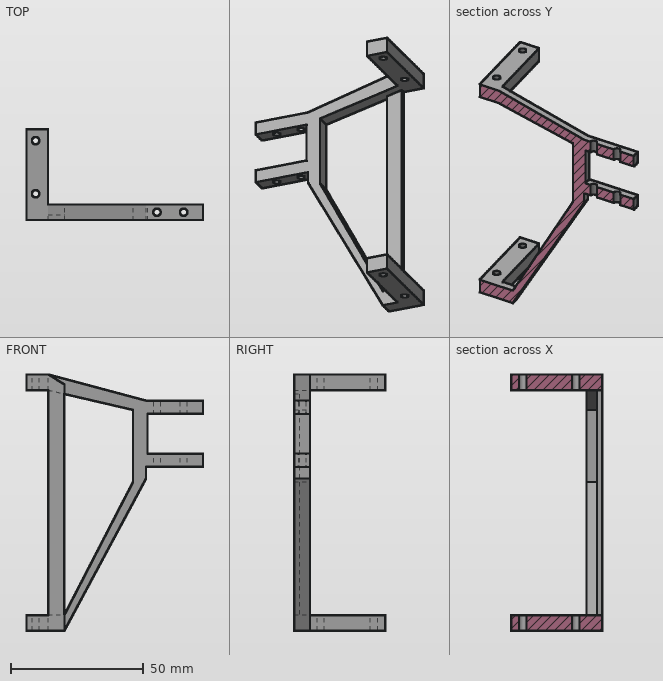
import cadquery as cq

length = 66.8
depth = 34.4
height = 97.0
bar = 6.0
arm_width = 8.2
post_width = 6.1
post_depth = 2.0
frame_setback = 0.05
corner_drop = 3.8

prong_thickness = 5.0
prong_top = 87.1
prong_gap = 15.0
strut_end_x = 45.3
upright_left = 40.3
prong_root_x = 45.9
upright_top = 83.5
upright_bottom = 56.3
lower_bend_z = 57.6
upper_strut_inner_z = 89.5
lower_strut_inner_z = 6.1

hole_diameter = 2.7
arm_hole_x = 3.5
arm_hole_ys = (10.0, 30.1)
prong_hole_xs = (49.4, 59.5)
prong_hole_y = bar / 2

post_right = arm_width + post_width
prong_bottom = prong_top - prong_thickness
lower_prong_top = prong_bottom - prong_gap
lower_prong_bottom = lower_prong_top - prong_thickness


def plate(points, front, back):
    """Extrude an XZ outline between two Y positions."""
    return cq.Workplane("XZ", origin=(0, front, 0)).polyline(points).close().extrude(front - back)


def box(x_size, y_size, z_size, z_start):
    """Block with its lower left front corner on the Z axis."""
    return cq.Workplane("XY").box(x_size, y_size, z_size, centered=False).translate((0, 0, z_start))


def hole(x, y):
    """Vertical cutter through the full height."""
    return cq.Workplane("XY").center(x, y).circle(hole_diameter / 2).extrude(height)


upper_arm = box(arm_width, depth, bar, height - bar)
lower_arm = box(arm_width, depth, bar, 0)
foot = box(post_right, bar, bar, 0)

post = plate(
    [
        (arm_width, 0),
        (post_right, 0),
        (post_right, height - corner_drop),
        (arm_width, height),
    ],
    0,
    post_depth,
)

upper_strut = plate(
    [
        (arm_width, height),
        (strut_end_x, prong_top),
        (length, prong_top),
        (length, prong_bottom),
        (prong_root_x, prong_bottom),
        (upright_left, upright_top),
        (post_right, upper_strut_inner_z),
        (arm_width, height - bar),
    ],
    frame_setback,
    bar,
)

lower_frame = plate(
    [
        (upright_left, upright_top),
        (prong_root_x, prong_bottom),
        (prong_root_x, lower_prong_top),
        (length, lower_prong_top),
        (length, lower_prong_bottom),
        (strut_end_x, lower_prong_bottom),
        (strut_end_x, lower_bend_z),
        (post_right, 0),
        (post_right, lower_strut_inner_z),
        (upright_left, upright_bottom),
    ],
    frame_setback,
    bar,
)

result = upper_arm
for member in (lower_arm, foot, post, upper_strut, lower_frame):
    result = result.union(member)

for y in arm_hole_ys:
    result = result.cut(hole(arm_hole_x, y))
for x in prong_hole_xs:
    result = result.cut(hole(x, prong_hole_y))